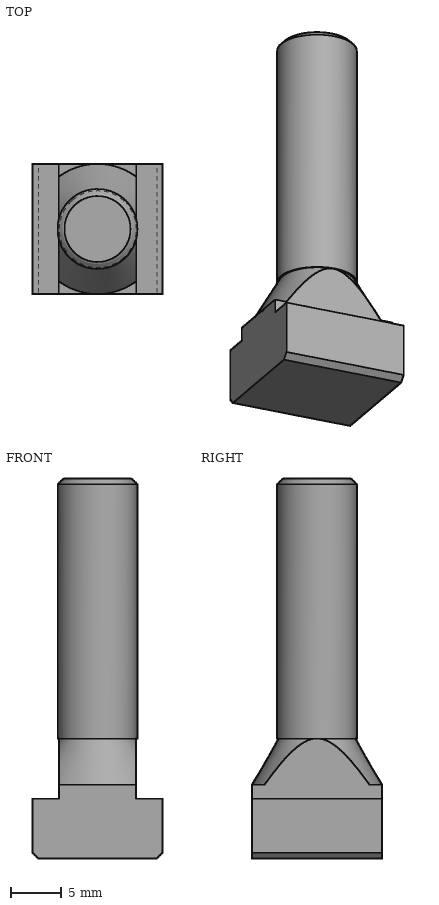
import cadquery as cq
import math

head_side = 13.0
head_height = 6.0
head_chamfer = 0.6
neck_width = 7.7
neck_top = 7.4
shank_diameter = 8.0
shank_start = 12.0
total_height = 38.0
tip_chamfer = 0.5
end_bevel_width = 0.2
end_bevel_angle = 30.0

neck_height = neck_top - head_height
cone_height = shank_start - neck_top
shank_radius = shank_diameter / 2
end_bevel_height = end_bevel_width * math.tan(math.radians(end_bevel_angle))


def make_head():
    """Square head with its two lower edges along Y chamfered."""
    head = cq.Workplane("XY").box(head_side, head_side, head_height, centered=(True, True, False))
    return head.faces("<Z").edges("|Y").chamfer(head_chamfer)


def make_neck():
    """Narrow block that slides in the slot, as deep as the head along Y."""
    neck = cq.Workplane("XY").workplane(offset=head_height)
    return neck.box(neck_width, head_side, neck_height, centered=(True, True, False))


def make_transition():
    """Cone from the head's inscribed circle up to the neck width, cut by the neck sides."""
    cone = cq.Workplane(
        cq.Solid.makeCone(head_side / 2, neck_width / 2, cone_height, pnt=cq.Vector(0, 0, neck_top))
    )
    flats = (
        cq.Workplane("XY")
        .workplane(offset=neck_top)
        .box(neck_width, head_side, cone_height, centered=(True, True, False))
    )
    return cone.intersect(flats)


def make_shank():
    """Round shank whose tip has a 45 degree chamfer and then a shallower bevel up to the flat end."""
    bevel_radius = shank_radius - tip_chamfer
    bevel_start = total_height - end_bevel_height
    half_profile = (
        cq.Workplane("XZ")
        .moveTo(0, shank_start)
        .lineTo(shank_radius, shank_start)
        .lineTo(shank_radius, bevel_start - tip_chamfer)
        .lineTo(bevel_radius, bevel_start)
        .lineTo(bevel_radius - end_bevel_width, total_height)
        .lineTo(0, total_height)
        .close()
    )
    return half_profile.revolve(360, (0, 0, 0), (0, 1, 0))


result = make_head().union(make_neck()).union(make_transition()).union(make_shank())